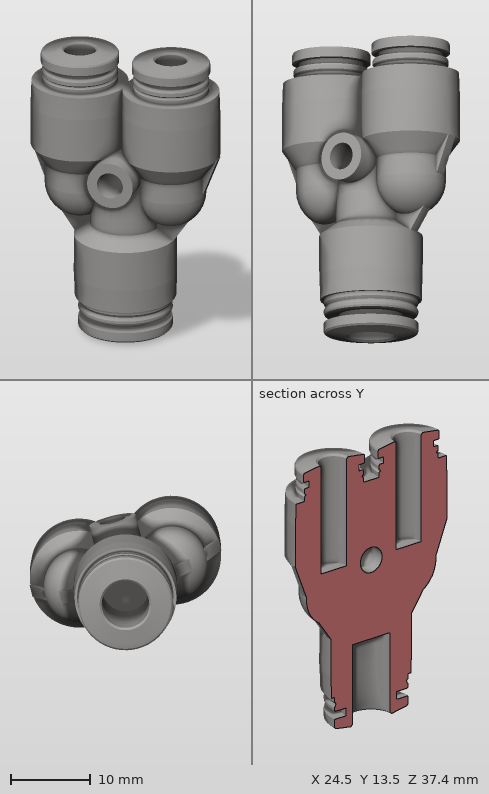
import cadquery as cq
import math

height = 37.4
port_offset = 6.0

port_radius = 6.2
port_top_radius = 6.1
port_top_z = 33.17
port_taper_z = 30.2
port_bottom_z = 24.57
dome_radius = 4.45
dome_shoulder_z = 22.1
dome_center_z = 19.45

base_radius = 6.5
base_end_radius = 6.4
base_end_z = 4.75
base_taper_z = 7.78
base_top_z = 12.98
stem_radius = 4.45
stem_top_radius = 4.3
stem_bottom_z = 14.47
stem_top_z = dome_shoulder_z

neck_radius = 4.058
edge_bevel = 0.1
groove_depth = 0.25
upper_cap_radius = 4.95
upper_ring_radius = 4.8
lower_cap_radius = 5.95

upper_hole_radius = 4.0 / 2
lower_hole_radius = 6.0 / 2
hole_bevel = 0.25
hole_depth = 14.95
lower_hole_depth = 11.22

eye_radius = 3.0
eye_hole_radius = 3.4 / 2
eye_length = 13.5
eye_z = dome_shoulder_z

web_thickness = 1.55
web_top_x = 24.5 / 2
web_foot_x = 10.47
web_foot_z = 19.95
lower_web_x = 8.6
lower_web_z = 16.0


def revolve_profile(outline):
    """Revolve a list of (radius, z) corners about the Z axis."""
    return cq.Workplane("XZ").polyline(outline).close().revolve(360, (0, 0, 0), (0, 1, 0))


def upper_port():
    """Capped, grooved sleeve with a domed bottom, centred on the Z axis."""
    cap_bottom_z = 35.7
    cap_edge_z = 37.03
    ring_top_z = 34.95
    groove_top_z = 34.22
    groove_bottom_z = 33.77
    groove_z = (groove_top_z + groove_bottom_z) / 2
    rim_radius = upper_hole_radius + hole_bevel
    bevel_height = 2 * edge_bevel
    diagonal = dome_radius * math.sqrt(0.5)
    return (
        cq.Workplane("XZ")
        .moveTo(0, height - hole_depth)
        .lineTo(upper_hole_radius, height - hole_depth)
        .lineTo(upper_hole_radius, height - hole_bevel)
        .lineTo(rim_radius, height)
        .lineTo(upper_cap_radius - edge_bevel, cap_edge_z)
        .lineTo(upper_cap_radius, cap_edge_z - bevel_height)
        .lineTo(upper_cap_radius, cap_bottom_z)
        .lineTo(neck_radius, cap_bottom_z)
        .lineTo(neck_radius, ring_top_z)
        .lineTo(upper_ring_radius - edge_bevel, ring_top_z)
        .lineTo(upper_ring_radius, ring_top_z - bevel_height)
        .lineTo(upper_ring_radius, groove_top_z)
        .lineTo(upper_ring_radius - groove_depth, groove_z)
        .lineTo(upper_ring_radius, groove_bottom_z)
        .lineTo(upper_ring_radius, port_top_z)
        .lineTo(port_top_radius, port_top_z)
        .lineTo(port_radius, port_taper_z)
        .lineTo(port_radius, port_bottom_z)
        .lineTo(dome_radius, dome_shoulder_z)
        .lineTo(dome_radius, dome_center_z)
        .threePointArc((diagonal, dome_center_z - diagonal), (0, dome_center_z - dome_radius))
        .close()
        .revolve(360, (0, 0, 0), (0, 1, 0))
    )


def lower_port():
    """Larger capped sleeve with the tapered stem that rises between the domes."""
    cap_edge_z = 0.4
    cap_top_z = 1.8
    ring_bottom_z = 2.8
    groove_bottom_z = 3.48
    groove_top_z = 4.2
    groove_z = (groove_bottom_z + groove_top_z) / 2
    return revolve_profile([
        (0, lower_hole_depth),
        (lower_hole_radius, lower_hole_depth),
        (lower_hole_radius, hole_bevel),
        (lower_hole_radius + hole_bevel, 0),
        (lower_cap_radius - 2 * edge_bevel, cap_edge_z),
        (lower_cap_radius, cap_edge_z + 2 * edge_bevel),
        (lower_cap_radius, cap_top_z),
        (neck_radius, cap_top_z),
        (neck_radius, ring_bottom_z),
        (lower_cap_radius - edge_bevel, ring_bottom_z),
        (lower_cap_radius, ring_bottom_z + 2 * edge_bevel),
        (lower_cap_radius, groove_bottom_z - edge_bevel),
        (lower_cap_radius - groove_depth, groove_z),
        (lower_cap_radius, groove_top_z),
        (lower_cap_radius, base_end_z),
        (base_end_radius, base_end_z),
        (base_radius, base_taper_z),
        (base_radius, base_top_z),
        (stem_radius, stem_bottom_z),
        (stem_top_radius, stem_top_z),
        (0, stem_top_z),
    ])


def web(outline):
    """Flat web centred on the XZ plane."""
    return cq.Workplane("XZ").polyline(outline).close().extrude(web_thickness / 2, both=True)


def eye_cylinder(radius):
    """Cylinder along Y at the mounting eye."""
    return cq.Workplane("XZ").center(0, eye_z).circle(radius).extrude(eye_length / 2, both=True)


body = lower_port()
for side in (-1, 1):
    body = body.union(upper_port().translate((side * port_offset, 0, 0)))
    upper_inner_x = side * (port_offset + upper_hole_radius + 2 * hole_bevel)
    body = body.union(web([
        (upper_inner_x, port_bottom_z),
        (side * web_top_x, port_bottom_z),
        (side * web_foot_x, web_foot_z),
        (upper_inner_x, web_foot_z),
    ]))
    lower_inner_x = side * stem_radius / 2
    body = body.union(web([
        (lower_inner_x, base_top_z),
        (side * base_radius, base_top_z),
        (side * lower_web_x, lower_web_z),
        (lower_inner_x, lower_web_z),
    ]))

result = body.union(eye_cylinder(eye_radius)).cut(eye_cylinder(eye_hole_radius))